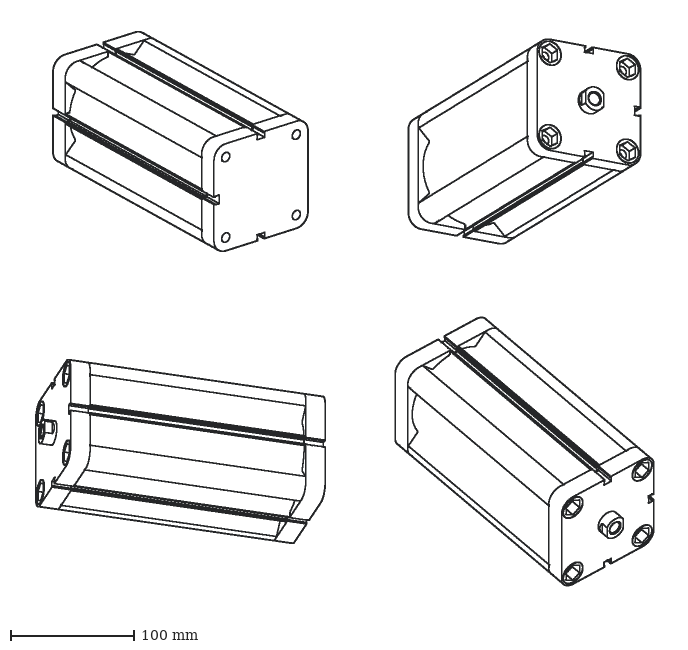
import cadquery as cq
import math


total_length = 226.5
side = 96.0
half_side = side / 2
corner_radius = 12.0
corner_center = half_side - corner_radius

rod_protrusion = 9.7
cap_length = 16.5
cap_start = rod_protrusion
barrel_start = cap_start + cap_length
barrel_end = total_length - cap_length
barrel_length = barrel_end - barrel_start

bolt_hole_diameter = 8.2
spot_face_diameter = 20.4
spot_face_depth = 0.5
socket_across_flats = 14.0
socket_sides = 6
socket_depth = 10.0
bolt_positions = [(y, z) for y in (-corner_center, corner_center) for z in (-corner_center, corner_center)]

tube_radius = 43.5
web_half_width = 10.6
column_angles = (45, 135, 225, 315)
tube_fillet = 1.4
rail_half_width = 4.5
edge_tolerance = 0.02

slot_angles = (0, 90, 180)
slot_mouth_half = 2.5
slot_cavity_half = 3.2
slot_lip = 1.4
slot_depth = 4.8
slot_mouth_chamfer = 0.7
cap_slot_clearance = 0.7

rod_radius = 10.0
flat_half_width = 8.5
flat_length = 6.3
flat_runout = 1.4
tap_radius = 5.1
tap_depth = 18.1
tap_chamfer = 1.0
drill_half_angle = 59.0


def section_at(x):
    """Workplane across the axis at x, with local axes along Y and Z and extrusion toward +X."""
    return cq.Workplane("YZ", origin=(x, 0, 0))


def spun(shape, angle):
    """Shape turned about the rod axis."""
    return shape.rotate((0, 0, 0), (1, 0, 0), angle)


def bolt_holes(start, length):
    """Four round holes for the tie bolts."""
    return section_at(start).pushPoints(bolt_positions).circle(bolt_hole_diameter / 2).extrude(length)


def t_slot(start, length, mouth_half, cavity_half, depth):
    """Undercut slot cutter, opening on the +Z side."""
    mouth = section_at(start).center(0, half_side - depth / 2).rect(2 * mouth_half, depth).extrude(length)
    cavity_height = depth - slot_lip
    cavity_middle = half_side - slot_lip - cavity_height / 2
    cavity = section_at(start).center(0, cavity_middle).rect(2 * cavity_half, cavity_height).extrude(length)
    return mouth.union(cavity)


def plain_cap(start):
    """Square end cap with rounded corners, bolt holes and slots on three sides."""
    cap = section_at(start).rect(side, side).extrude(cap_length).edges("|X").fillet(corner_radius)
    cap = cap.cut(bolt_holes(start, cap_length))
    slot = t_slot(
        start,
        cap_length,
        slot_mouth_half + cap_slot_clearance,
        slot_cavity_half + cap_slot_clearance,
        slot_depth + cap_slot_clearance,
    )
    for angle in slot_angles:
        cap = cap.cut(spun(slot, angle))
    return cap


def make_front_cap():
    """Cap with the rod bore and a spot-faced hexagonal socket around each bolt hole."""
    rod_bore = section_at(cap_start).circle(rod_radius).extrude(cap_length)
    spot_faces = (
        section_at(cap_start).pushPoints(bolt_positions).circle(spot_face_diameter / 2).extrude(spot_face_depth)
    )
    across_corners = socket_across_flats / math.cos(math.pi / socket_sides)
    socket = section_at(cap_start).polygon(socket_sides, across_corners).extrude(socket_depth)
    socket = spun(socket, 90)
    cap = plain_cap(cap_start).cut(rod_bore).cut(spot_faces)
    for y, z in bolt_positions:
        cap = cap.cut(socket.translate((0, y, z)))
    return cap


def make_rear_cap():
    """Cap closing the far end of the barrel."""
    return plain_cap(barrel_end)


def corner_column():
    """Flat-sided web toward +Z, ending in a round nose concentric with the cap corner."""
    center_distance = corner_center * math.sqrt(2)
    kink_rise = math.sqrt(corner_radius**2 - web_half_width**2)
    kink = center_distance + kink_rise
    return (
        section_at(barrel_start)
        .moveTo(-web_half_width, 0)
        .lineTo(-web_half_width, kink)
        .threePointArc((0, center_distance + corner_radius), (web_half_width, kink))
        .lineTo(web_half_width, 0)
        .close()
        .extrude(barrel_length)
    )


def mouth_chamfer_cutter():
    """Sloped sides at the mouth of a barrel slot."""
    outer_half = slot_mouth_half + slot_mouth_chamfer
    lower = half_side - slot_mouth_chamfer
    return (
        section_at(barrel_start)
        .polyline(
            [
                (-outer_half, half_side),
                (outer_half, half_side),
                (slot_mouth_half, lower),
                (-slot_mouth_half, lower),
            ]
        )
        .close()
        .extrude(barrel_length)
    )


def make_barrel():
    """Round tube with four corner columns and a slotted rail on three sides."""
    barrel = section_at(barrel_start).circle(tube_radius).extrude(barrel_length)
    column = corner_column()
    for angle in column_angles:
        barrel = barrel.union(spun(column, angle))
    rail = (
        section_at(barrel_start)
        .center(0, half_side / 2)
        .rect(2 * rail_half_width, half_side)
        .extrude(barrel_length)
    )
    for angle in slot_angles:
        barrel = barrel.union(spun(rail, angle))
    on_tube = [
        edge
        for edge in barrel.edges("|X").vals()
        if abs(math.hypot(edge.Center().y, edge.Center().z) - tube_radius) < edge_tolerance
    ]
    barrel = barrel.newObject(on_tube).fillet(tube_fillet)
    slot = t_slot(barrel_start, barrel_length, slot_mouth_half, slot_cavity_half, slot_depth)
    slot = slot.union(mouth_chamfer_cutter())
    for angle in slot_angles:
        barrel = barrel.cut(spun(slot, angle))
    return barrel.cut(bolt_holes(barrel_start, barrel_length))


def make_rod():
    """Piston rod with two wrench flats and a tapped hole in its tip."""
    rod = section_at(0).circle(rod_radius).extrude(barrel_start)
    runout_height = rod_radius - flat_half_width
    flat_cutter = (
        cq.Workplane("XY", origin=(0, 0, -rod_radius))
        .polyline(
            [
                (0, flat_half_width),
                (flat_length, flat_half_width),
                (flat_length + flat_runout, flat_half_width + runout_height),
                (0, rod_radius),
            ]
        )
        .close()
        .extrude(2 * rod_radius)
    )
    drill_point = tap_radius / math.tan(math.radians(drill_half_angle))
    tapped_hole = (
        cq.Workplane("XY")
        .polyline(
            [
                (0, 0),
                (0, tap_radius + tap_chamfer),
                (tap_chamfer, tap_radius),
                (tap_depth, tap_radius),
                (tap_depth + drill_point, 0),
            ]
        )
        .close()
        .revolve(360, (0, 0, 0), (1, 0, 0))
    )
    return rod.cut(flat_cutter).cut(spun(flat_cutter, 180)).cut(tapped_hole)


rod = make_rod()
front_cap = make_front_cap()
barrel = make_barrel()
rear_cap = make_rear_cap()

result = cq.Compound.makeCompound([rod.val(), front_cap.val(), barrel.val(), rear_cap.val()])